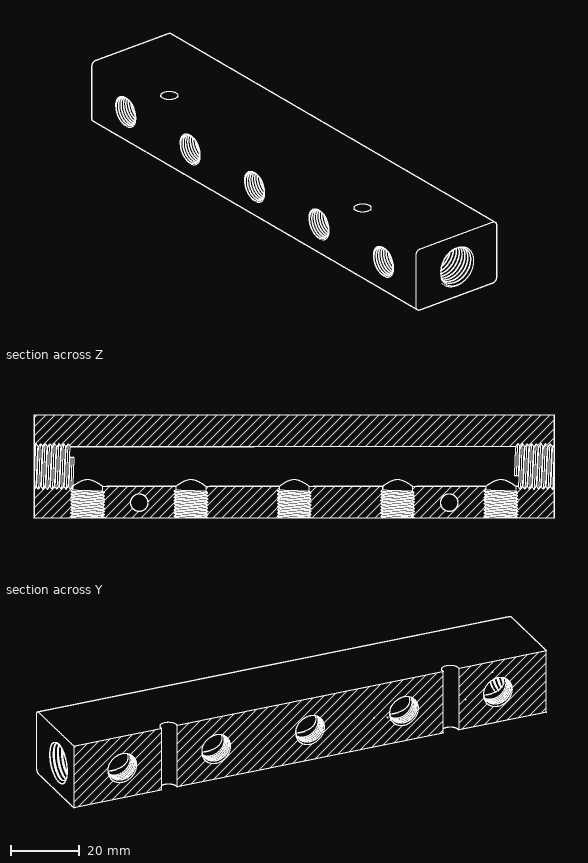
import cadquery as cq

LENGTH = 151.0
WIDTH = 30.0
HEIGHT = 20.0
EDGE_RADIUS = 1.5

BORE_MINOR_DIAMETER = 11.45
BORE_MAJOR_DIAMETER = 13.157
BORE_PITCH = 1.337
BORE_THREAD_DEPTH = 11.0
BORE_START_ANGLE = 0.0

PORT_MINOR_DIAMETER = 8.566
PORT_MAJOR_DIAMETER = 9.728
PORT_PITCH = 0.907
PORT_THREAD_DEPTH = 8.0
PORT_START_ANGLE = -90.0
PORT_COUNT = 5
PORT_SPACING = 30.0

GROOVE_WIDTH_RATIO = 0.9
THREAD_OVERLAP = 0.05
LEAD_IN_TURNS = 0.35

MOUNT_DIAMETER = 5.0
MOUNT_SPACING = 90.0
MOUNT_FRONT_OFFSET = 4.5


def make_block():
    """Bar with rounded long edges."""
    return cq.Workplane("XY").box(LENGTH, WIDTH, HEIGHT).edges("|X").fillet(EDGE_RADIUS)


def cylinder(start, direction, diameter, depth):
    """Plain cylinder running from start along direction."""
    return cq.Solid.makeCylinder(diameter / 2, depth, cq.Vector(*start), cq.Vector(*direction))


def thread_cutter(start, direction, minor, major, pitch, depth, start_angle):
    """Helical V groove around a hole that opens at start and runs along direction."""
    crest_radius = minor / 2 - THREAD_OVERLAP
    half_width = pitch * GROOVE_WIDTH_RATIO / 2
    lead_in = pitch * LEAD_IN_TURNS
    helix = cq.Wire.makeHelix(pitch, depth + lead_in, minor / 2)
    groove = cq.Workplane("XZ").polyline(
        [(crest_radius, -half_width), (major / 2, 0), (crest_radius, half_width)]
    ).close()
    cutter = groove.sweep(cq.Workplane(helix), isFrenet=True)
    placement = cq.Plane(origin=start, xDir=(0, 0, 1), normal=direction)
    turn = cq.Location(cq.Vector(0, 0, -lead_in), cq.Vector(0, 0, 1), start_angle)
    return cutter.val().moved(cq.Location(placement) * turn)


def cut_bore(body):
    """Main bore passing through both end faces."""
    body = body.cut(cylinder((-LENGTH / 2, 0, 0), (1, 0, 0), BORE_MINOR_DIAMETER, LENGTH))
    for side in (-1, 1):
        body = body.cut(
            thread_cutter(
                (side * LENGTH / 2, 0, 0),
                (-side, 0, 0),
                BORE_MINOR_DIAMETER,
                BORE_MAJOR_DIAMETER,
                BORE_PITCH,
                BORE_THREAD_DEPTH,
                BORE_START_ANGLE,
            )
        )
    return body


def cut_ports(body):
    """Row of ports that open into the main bore."""
    first_x = -PORT_SPACING * (PORT_COUNT - 1) / 2
    for index in range(PORT_COUNT):
        x = first_x + index * PORT_SPACING
        body = body.cut(cylinder((x, -WIDTH / 2, 0), (0, 1, 0), PORT_MINOR_DIAMETER, WIDTH / 2))
        body = body.cut(
            thread_cutter(
                (x, -WIDTH / 2, 0),
                (0, 1, 0),
                PORT_MINOR_DIAMETER,
                PORT_MAJOR_DIAMETER,
                PORT_PITCH,
                PORT_THREAD_DEPTH,
                PORT_START_ANGLE,
            )
        )
    return body


def cut_mounting_holes(body):
    """Two vertical through holes beside the bore."""
    y = -WIDTH / 2 + MOUNT_FRONT_OFFSET
    for x in (-MOUNT_SPACING / 2, MOUNT_SPACING / 2):
        body = body.cut(cylinder((x, y, -HEIGHT / 2), (0, 0, 1), MOUNT_DIAMETER, HEIGHT))
    return body


result = cut_mounting_holes(cut_ports(cut_bore(make_block())))